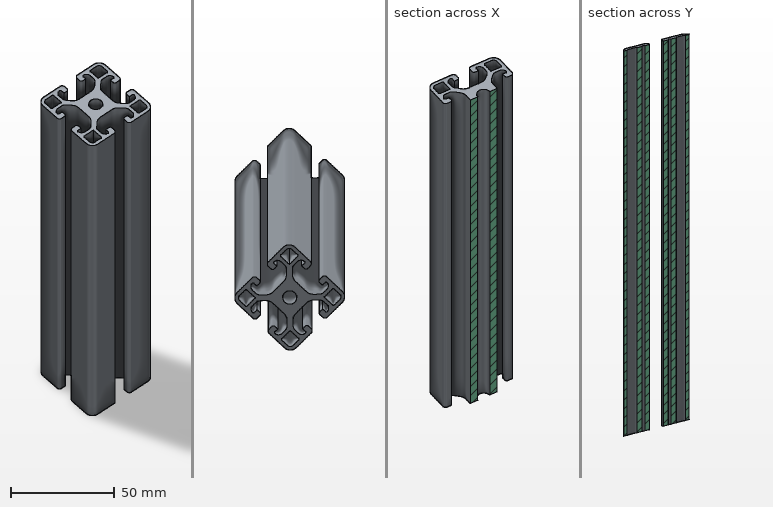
import cadquery as cq

length = 200.0
side = 40.0
half_side = side / 2
outer_corner_radius = 4.0

slot_half_opening = 4.0
slot_half_width = 10.0
slot_floor = 7.75
slot_roof = 18.0
lip_width = 3.0
lip_depth = 4.5
lip_outer_radius = 1.5
lip_inner_radius = 1.0
roof_corner_radius = 2.4
lip_root_radius = 0.5
flank_offset = 2.1
floor_radius = 5.0
shoulder_radius = 3.0

chamber_inner = 11.8
chamber_outer = 18.1
chamber_outer_radius = 1.9
chamber_side_radius = 0.5
bore_diameter = 6.8


def bar():
    """Square bar with rounded long edges."""
    block = cq.Workplane("XY").rect(side, side).extrude(length)
    return block.edges("|Z").fillet(outer_corner_radius)


def at(x, y):
    """Selector for the long edge nearest to the point (x, y)."""
    return cq.selectors.NearestToPointSelector((x, y, length / 2))


def round_mirrored_edges(body, x, y, radius):
    """Round the long edges at (x, y) and (-x, y)."""
    for sign in (1, -1):
        body = body.edges(at(sign * x, y)).fillet(radius)
    return body


def slot_cutter():
    """T-slot space on the +Y side, with 45 degree flanks down to the floor."""
    floor_corner = slot_floor - flank_offset
    shoulder = slot_half_width + flank_offset
    lip_inner = slot_half_opening + lip_width
    lip_bottom = half_side - lip_depth
    right = [
        (floor_corner, slot_floor),
        (slot_half_width, shoulder),
        (slot_half_width, slot_roof),
        (lip_inner, slot_roof),
        (lip_inner, lip_bottom),
        (slot_half_opening, lip_bottom),
        (slot_half_opening, half_side),
    ]
    left = [(-x, y) for x, y in reversed(right)]
    cutter = cq.Workplane("XY").polyline(right + left).close().extrude(length)
    cutter = round_mirrored_edges(cutter, floor_corner, slot_floor, floor_radius)
    cutter = round_mirrored_edges(cutter, slot_half_width, shoulder, shoulder_radius)
    cutter = round_mirrored_edges(cutter, slot_half_width, slot_roof, roof_corner_radius)
    cutter = round_mirrored_edges(cutter, lip_inner, slot_roof, lip_root_radius)
    cutter = round_mirrored_edges(cutter, slot_half_opening, lip_bottom, lip_inner_radius)
    for sign in (1, -1):
        rounding = (
            cq.Workplane("XY")
            .moveTo(sign * slot_half_opening, half_side - lip_outer_radius)
            .radiusArc((sign * (slot_half_opening + lip_outer_radius), half_side), sign * lip_outer_radius)
            .lineTo(sign * slot_half_opening, half_side)
            .close()
            .extrude(length)
        )
        cutter = cutter.union(rounding)
    return cutter


def chamber_cutter():
    """Hollow in the +X +Y corner, rounded except at its innermost edge."""
    size = chamber_outer - chamber_inner
    cutter = (
        cq.Workplane("XY")
        .rect(size, size, centered=False)
        .extrude(length)
        .translate((chamber_inner, chamber_inner, 0))
    )
    cutter = cutter.edges(at(chamber_outer, chamber_outer)).fillet(chamber_outer_radius)
    cutter = cutter.edges(at(chamber_outer, chamber_inner)).fillet(chamber_side_radius)
    return cutter.edges(at(chamber_inner, chamber_outer)).fillet(chamber_side_radius)


def cut_all_round(body, cutter):
    """Cut the same shape at each quarter turn about the Z axis."""
    for quarter in range(4):
        body = body.cut(cutter.rotate((0, 0, 0), (0, 0, 1), 90 * quarter))
    return body


profile = cut_all_round(bar(), slot_cutter())
profile = cut_all_round(profile, chamber_cutter())
bore = cq.Workplane("XY").circle(bore_diameter / 2).extrude(length)
result = profile.cut(bore)